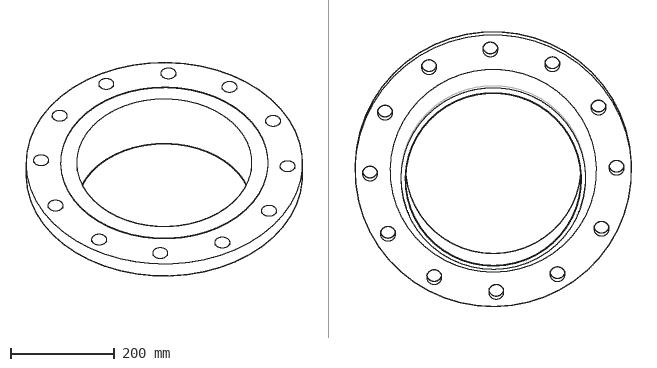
import cadquery as cq

flange_diameter = 533.5
total_height = 127.0

raised_face_diameter = 400.0
raised_face_height = 1.5
flange_thickness = 34.0
bore_diameter = 337.5

hub_top_diameter = 398.0
weld_end_diameter = 356.5
weld_end_height = 31.0
bevel_height = 8.5
bevel_width = 8.0
hub_mid_inset = 1.5

bolt_count = 12
bolt_circle_diameter = 476.0
bolt_hole_diameter = 29.0

flange_top = total_height - raised_face_height
flange_bottom = flange_top - flange_thickness
hub_top_radius = hub_top_diameter / 2
weld_end_radius = weld_end_diameter / 2
bore_radius = bore_diameter / 2
hub_mid_radius = (hub_top_radius + weld_end_radius) / 2 - hub_mid_inset
hub_mid_height = (flange_bottom + weld_end_height) / 2


def make_body():
    """Revolve the half section of the weld neck flange about Z."""
    section = (
        cq.Workplane("XZ")
        .moveTo(bore_radius, 0)
        .lineTo(weld_end_radius - bevel_width, 0)
        .lineTo(weld_end_radius, bevel_height)
        .lineTo(weld_end_radius, weld_end_height)
        .threePointArc((hub_mid_radius, hub_mid_height), (hub_top_radius, flange_bottom))
        .lineTo(flange_diameter / 2, flange_bottom)
        .lineTo(flange_diameter / 2, flange_top)
        .lineTo(raised_face_diameter / 2, flange_top)
        .lineTo(raised_face_diameter / 2, total_height)
        .lineTo(bore_radius, total_height)
        .close()
    )
    return section.revolve(360, (0, 0, 0), (0, 1, 0))


def make_bolt_holes():
    """Bolt hole cutters, placed so that the holes straddle the X and Y axes."""
    half_pitch = 180 / bolt_count
    return (
        cq.Workplane("XY")
        .workplane(offset=flange_bottom)
        .polarArray(bolt_circle_diameter / 2, half_pitch, 360, bolt_count)
        .circle(bolt_hole_diameter / 2)
        .extrude(flange_thickness)
    )


result = make_body().cut(make_bolt_holes())